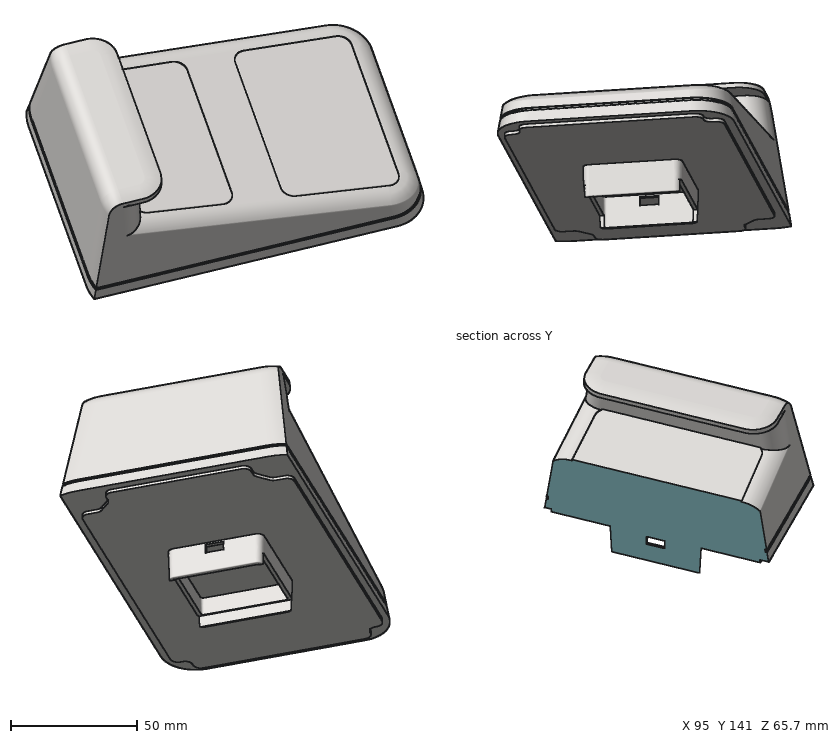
import cadquery as cq
import math

length = 141.0
base_half_width = 47.5
body_height = 51.2
side_draft = 8.0
rear_draft = 10.0
front_lean = 10.0
rear_corner_radius = 14.7
front_y = -length / 2
rear_y = length / 2

deck_angle = 10.0
deck_height = 24.7
deck_rim_radius = 11.3
deck_rim_depth = 4.2
deck_flat_half_width = 37.2
deck_flat_rear_y = 61.9
deck_flat_corner_radius = 7.0
deck_side_slope = 0.025
deck_edge_radius = 0.7

wall_inner_y = -46.7
wall_corner_radius = 8.3
lip_underside = 48.1
lip_tip_y = -36.8
lip_corner_radius = 10.2
bend_radius = 7.2

rim_width = 6.8
rim_drop = 1.06
rim_start_bottom = 40.3
rim_start_top = 34.0

groove_bottom = 5.0
groove_height = 1.1
groove_depth = 0.7

pad_height = 0.5
pad_edge_radius = 0.4
pad_corner_radius = 5.1
pad_half_width = 36.4
rear_pad_span = (12.4, 60.8)
front_pad_span = (wall_inner_y - 1.4, -7.6)

underside_shift = 0.4
plate_thickness = 1.4
plate_half_width = 44.3
plate_half_length = 67.3
plate_round = 3.1
plate_rear_radius = 11.3
front_notch_x = 30.3
front_notch_y = -55.0
front_notch_chamfer = 5.8
rear_notch_x = 37.1
rear_notch_y = 60.2

skirt_half_width = 20.0
skirt_wall = 1.7
skirt_draft = 2.0
skirt_corner_radius = 2.8
skirt_bottom = -14.5
skirt_side_bottom = -9.5
skirt_edge_radius = 0.4
front_leg_depth = 2.5
rear_leg_depth = 1.4
window_width = 7.6
window_height = 3.7
window_center_z = -4.1

MARGIN = 28.2


def tan(angle):
    return math.tan(math.radians(angle))


def sin(angle):
    return math.sin(math.radians(angle))


def cos(angle):
    return math.cos(math.radians(angle))


def side_profile(points):
    """Solid of a closed Y-Z outline, wide enough to span the body."""
    reach = base_half_width + MARGIN
    return cq.Workplane("YZ").polyline(points).close().extrude(reach, both=True)


def drafted_block(grow):
    """Body block with drafted walls, each moved outward by grow."""
    bottom = base_half_width + grow
    top = bottom - body_height * tan(side_draft)
    width_limits = (
        cq.Workplane("XZ")
        .polyline([(-bottom, 0), (bottom, 0), (top, body_height), (-top, body_height)])
        .close()
        .extrude(length, both=True)
    )
    front = front_y - grow
    rear = rear_y + grow
    block = side_profile([
        (front, 0),
        (rear, 0),
        (rear - body_height * tan(rear_draft), body_height),
        (front + body_height * tan(front_lean), body_height),
    ]).intersect(width_limits)
    rear_corners = block.faces(">Y").edges("not |X")
    return rear_corners.fillet(rear_corner_radius + grow)


def deck_z(y):
    return deck_height - y * tan(deck_angle)


def deck_slab(y_span, half_width, corner_radius, edge_radius, bottom, top):
    """Rounded slab parallel to the deck, bounded by heights below and above the deck plane."""
    near, far = [y / cos(deck_angle) for y in y_span]
    near_half = half_width + deck_side_slope * near
    far_half = half_width + deck_side_slope * far
    up = cq.Vector(0, sin(deck_angle), cos(deck_angle))
    deck_plane = cq.Plane((0, 0, deck_height), (1, 0, 0), up)
    return (
        cq.Workplane(deck_plane)
        .workplane(offset=bottom)
        .polyline([(-near_half, near), (near_half, near), (far_half, far), (-far_half, far)])
        .close()
        .extrude(top - bottom)
        .edges(cq.selectors.ParallelDirSelector(up))
        .fillet(corner_radius)
        .faces(cq.selectors.DirectionMinMaxSelector(up))
        .edges()
        .fillet(edge_radius)
    )


def deck():
    """Wedge under the sloping deck, its outer edge rolled over by the rim rounding."""
    span = (front_y - MARGIN, deck_flat_rear_y + deck_rim_radius * cos(deck_angle))
    rolled = deck_slab(
        span,
        deck_flat_half_width + deck_rim_radius,
        deck_flat_corner_radius + deck_rim_radius,
        deck_rim_radius,
        -2 * deck_rim_radius,
        0,
    )
    front = front_y - MARGIN
    rear = rear_y + MARGIN
    lower_part = side_profile([
        (front, -MARGIN),
        (rear, -MARGIN),
        (rear, deck_z(rear) - deck_rim_depth),
        (front, deck_z(front) - deck_rim_depth),
    ])
    wedge = drafted_block(0).intersect(rolled.union(lower_part))
    edge_point = (base_half_width - deck_z(0) * tan(side_draft), 0, deck_z(0) - deck_rim_depth / 2)
    rim_edge = wedge.edges(cq.selectors.NearestToPointSelector(edge_point))
    return rim_edge.fillet(deck_edge_radius)


def pad(y_span):
    """Thin raised pad lying on the deck between two Y positions."""
    return deck_slab(y_span, pad_half_width, pad_corner_radius, pad_edge_radius, -pad_height, pad_height)


bend_angle = 90 - front_lean
bend_tangent = bend_radius * tan(bend_angle / 2)
bend_center_y = front_y + body_height * tan(front_lean) + bend_tangent
bend_center_z = body_height - bend_radius
bend_end_y = bend_center_y - bend_radius * cos(front_lean)
bend_end_z = bend_center_z + bend_radius * sin(front_lean)


def rim_section(origin, outward, travel):
    """Area removed by the rim rounding: an arc that leaves the surface tangentially."""
    arc_radius = (rim_width**2 + rim_drop**2) / (2 * rim_drop)
    reach = 1.6 * rim_width
    clear = 1.4

    def drop(distance):
        return -(arc_radius - math.sqrt(arc_radius**2 - distance**2))

    return (
        cq.Workplane(cq.Plane(origin, outward, travel))
        .threePointArc((reach / 2, drop(reach / 2)), (reach, drop(reach)))
        .lineTo(reach, clear)
        .lineTo(0, clear)
        .close()
    )


def both_sides(tool):
    return tool.union(tool.mirror("YZ"))


def front_rim(inset):
    """Rim tool for both upright edges of the front face, moved into the body by inset."""
    down = (0, -sin(front_lean), -cos(front_lean))
    upper = rim_section((rim_start_top - inset, bend_end_y + inset, bend_end_z), (1, 0, 0), down)
    lower = rim_section((rim_start_bottom - inset, front_y + inset, 0), (1, 0, 0), down)
    strip = cq.Solid.makeLoft([upper.val(), lower.val()], True)
    return both_sides(cq.Workplane(strip))


def lip_rim():
    """Rim tool for the bend, the lip sides, the lip corners and the lip tip."""
    inner_radius = lip_corner_radius - rim_width
    corner_x = rim_start_top - inner_radius
    corner_y = lip_tip_y - lip_corner_radius
    side_start = (rim_start_top, corner_y, body_height)
    bend_start = (rim_start_top, bend_center_y, body_height)
    bend = rim_section(bend_start, (1, 0, 0), (0, -1, 0)).revolve(
        bend_angle, (0, -bend_radius), (1, -bend_radius))
    side = rim_section(side_start, (1, 0, 0), (0, -1, 0)).extrude(corner_y - bend_center_y)
    corner = rim_section(side_start, (1, 0, 0), (0, -1, 0)).revolve(
        90, (-inner_radius, 0), (-inner_radius, 1))
    tip = rim_section((-corner_x, corner_y + inner_radius, body_height), (0, 1, 0), (1, 0, 0)).extrude(
        2 * corner_x)
    return both_sides(bend.union(side).union(corner)).union(tip)


def front_wall():
    """Upright wall with rounded inner corners and a lip that overhangs the deck."""
    front = front_y - MARGIN
    wall = drafted_block(0).intersect(side_profile([
        (front, 0), (wall_inner_y, 0), (wall_inner_y, body_height), (front, body_height)]))
    wall = wall.faces(">Y").edges("not |X").fillet(wall_corner_radius)
    lip = drafted_block(0).intersect(side_profile([
        (front, lip_underside), (lip_tip_y, lip_underside), (lip_tip_y, body_height), (front, body_height)]))
    lip = lip.faces(">Y").edges("not |X").fillet(lip_corner_radius)
    wall = wall.union(lip)
    bend_edge = wall.edges(cq.selectors.NearestToPointSelector(
        (0, front_y + body_height * tan(front_lean), body_height)))
    return bend_edge.fillet(bend_radius).cut(lip_rim())


def parting_groove():
    """Thin band removed all round the body."""
    core = drafted_block(-groove_depth).cut(front_rim(groove_depth))
    band = cq.Workplane("XY").workplane(offset=groove_bottom).rect(
        2 * length, 2 * length).extrude(groove_height)
    return band.cut(core)


def bottom_plate():
    """Thin plate with a stepped notch in every corner."""

    def notch(points):
        return both_sides(cq.Workplane("XY").polyline(points).close().extrude(-plate_thickness))

    plate = cq.Workplane("XY").rect(2 * plate_half_width, 2 * plate_half_length).extrude(-plate_thickness)
    plate = plate.edges("|Z and >Y").fillet(plate_rear_radius)
    far = length
    plate = plate.cut(notch([
        (front_notch_x, -far),
        (front_notch_x, front_notch_y - front_notch_chamfer),
        (front_notch_x + front_notch_chamfer, front_notch_y),
        (far, front_notch_y),
        (far, -far),
    ]))
    plate = plate.cut(notch([
        (rear_notch_x, rear_notch_y), (far, rear_notch_y), (far, far), (rear_notch_x, far)]))
    return plate.edges("|Z").fillet(plate_round)


def skirt():
    """Drafted square skirt whose front and rear walls reach lower than its sides."""
    top = -plate_thickness
    depth = top - skirt_bottom

    def drafted_prism(half_width, radius):
        return (
            cq.Workplane("XY")
            .workplane(offset=top)
            .sketch()
            .rect(2 * half_width, 2 * half_width)
            .vertices()
            .fillet(radius)
            .finalize()
            .extrude(-depth, taper=skirt_draft)
        )

    walls = drafted_prism(skirt_half_width, skirt_corner_radius).faces("<Z").edges().fillet(skirt_edge_radius)
    walls = walls.cut(drafted_prism(skirt_half_width - skirt_wall, skirt_corner_radius - skirt_wall))
    side_start = -skirt_half_width + front_leg_depth
    side_end = skirt_half_width - rear_leg_depth
    side_cut = cq.Workplane("XY").box(
        length, side_end - side_start, skirt_side_bottom - skirt_bottom, centered=(True, False, False)
    ).translate((0, side_start, skirt_bottom))
    window = cq.Workplane("XY").box(window_width, skirt_half_width, window_height).translate(
        (0, -skirt_half_width, window_center_z))
    return walls.cut(side_cut).cut(window)


body = deck().union(pad(rear_pad_span)).union(pad(front_pad_span)).union(front_wall())
body = body.cut(front_rim(0)).cut(parting_groove())
underside = bottom_plate().union(skirt()).translate((underside_shift, 0, 0))
result = body.union(underside)